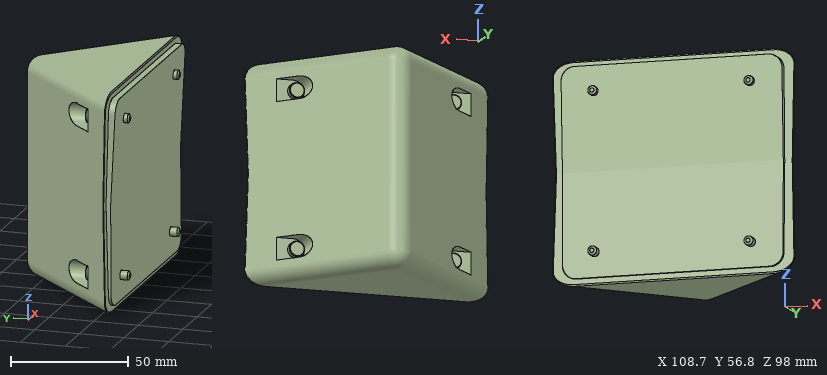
import cadquery as cq
import math

height = 98.0
half_width = 54.8
edge_radius = 7.0
rim_chamfer_face = 0.71
rim_chamfer_side = 0.36
v_angle = 1.5
front_margin = 5.4

plate_width = 98.9
plate_height = 92.0
plate_corner_radius = 6.0
plate_middle_thickness = 2.1
plate_tilt = 1.25

screw_x = 35.0
screw_z = 34.9
seat_depth = 11.3
shank_diameter = 4.0
shank_reach = 4.9
tip_diameter = 1.8
tip_length = 0.7
head_diameter = 6.8
head_thickness = 2.8
head_chamfer = 0.3

pocket_width = 10.0
pocket_x = 36.1

half_height = height / 2
v_depth = half_height * math.tan(math.radians(v_angle))
screw_corners = [(side, level) for side in (-1, 1) for level in (-1, 1)]


def v_block(middle_y, upper_angle, lower_angle):
    """Block in front of a V surface whose halves lean forward by the given angles."""
    front_y = -half_width
    top_y = middle_y - height * math.tan(math.radians(upper_angle))
    bottom_y = middle_y - height * math.tan(math.radians(lower_angle))
    outline = [(front_y, height), (top_y, height), (middle_y, 0), (bottom_y, -height), (front_y, -height)]
    return cq.Workplane("YZ").polyline(outline).close().extrude(2 * half_width, both=True)


def screw_plane(x, level, depth):
    """Plane square to a screw axis, facing backward, at a depth behind the front rim."""
    origin = (x, depth, level * screw_z)
    return cq.Workplane(cq.Plane(origin, (1, 0, 0), (0, 1, 0)))


def shank_hole(x, level, depth):
    """Cutter for a screw shank, from the stock in front to a depth behind the rim."""
    return screw_plane(x, level, -front_margin).circle(shank_diameter / 2).extrude(front_margin + depth)


def screw_pocket(side, level):
    """Slot with a round inner end, running out through the sloping side."""
    bottom = screw_plane(side * pocket_x, level, seat_depth)
    round_end = bottom.circle(pocket_width / 2).extrude(half_width)
    open_side = bottom.center(side * half_width / 2, 0).rect(half_width, pocket_width).extrude(half_width)
    return round_end.union(open_side)


def make_screw(x, level):
    """Round-headed screw with a conical tip, its head facing backward."""
    head = (
        screw_plane(x, level, seat_depth)
        .circle(head_diameter / 2)
        .extrude(head_thickness)
        .faces(">Y")
        .chamfer(head_chamfer)
    )
    tip_setback = (shank_diameter - tip_diameter) / 2
    shank = (
        screw_plane(x, level, -shank_reach)
        .circle(shank_diameter / 2)
        .extrude(shank_reach + seat_depth)
        .faces("<Y")
        .chamfer(tip_length, tip_setback)
    )
    return head.union(shank)


def make_housing():
    """Rounded wedge with a V front, a chamfered rim, and a hole and pocket for each screw."""
    corner = half_width + front_margin
    wedge = (
        cq.Workplane("XY", origin=(0, 0, -half_height))
        .polyline([(-corner, -front_margin), (corner, -front_margin), (0, half_width)])
        .close()
        .extrude(height)
        .edges("not(<Y)")
        .fillet(edge_radius)
    )
    housing = wedge.cut(v_block(v_depth, v_angle, v_angle))
    in_front_of_ridge = cq.selectors.BoxSelector(
        (-corner, -front_margin, -height), (corner, v_depth - rim_chamfer_face, height)
    )
    housing = housing.edges(in_front_of_ridge).chamfer(rim_chamfer_face, rim_chamfer_side)
    for side, level in screw_corners:
        hole = shank_hole(side * screw_x, level, seat_depth)
        housing = housing.cut(hole).cut(screw_pocket(side, level))
    return housing


def make_plate():
    """Plate lying between the housing's V front and a second, slightly tilted V."""
    plate = (
        cq.Workplane("XZ", origin=(0, v_depth, 0))
        .rect(plate_width, plate_height)
        .extrude(2 * front_margin)
        .edges("|Y")
        .fillet(plate_corner_radius)
        .intersect(v_block(v_depth, v_angle, v_angle))
        .cut(v_block(v_depth - plate_middle_thickness, v_angle + plate_tilt, v_angle - plate_tilt))
    )
    for side, level in screw_corners:
        plate = plate.cut(shank_hole(side * screw_x, level, front_margin))
    return plate


housing = make_housing()
plate = make_plate()
screws = [make_screw(side * screw_x, level) for side, level in screw_corners]
result = cq.Compound.makeCompound(
    [
        housing.solids().val(),
        plate.solids().val(),
        *[screw.solids().val() for screw in screws],
    ]
)